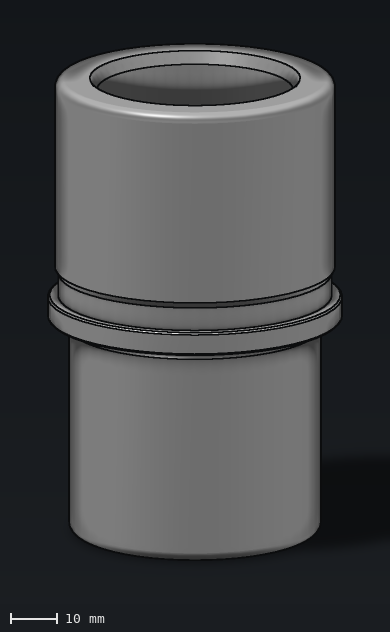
import cadquery as cq

total_height = 100.0
bore_diameter = 42.0
bore_chamfer_width = 1.5
bore_chamfer_height = 2.6

upper_diameter = 60.0
upper_bottom = 57.0
upper_rim_radius = 2.0
upper_chamfer_height = 1.3

neck_diameter = 58.6

collar_diameter = 63.0
collar_bottom = 47.0
collar_height = 5.0
collar_chamfer = 0.4

lower_diameter = 54.0
shoulder_width = 0.8
shoulder_height = 2.0
lower_rim_radius = 2.0


def cylinder(diameter, bottom, top):
    """Solid cylinder on the Z axis between two heights."""
    return cq.Workplane("XY").workplane(offset=bottom).circle(diameter / 2).extrude(top - bottom)


def make_upper_body():
    """Upper body whose lower chamfer runs down to the neck surface."""
    chamfer_width = (upper_diameter - neck_diameter) / 2
    body = cylinder(upper_diameter, upper_bottom, total_height)
    body = body.faces(">Z").edges().fillet(upper_rim_radius)
    return body.faces("<Z").edges().chamfer(upper_chamfer_height, chamfer_width)


def make_collar():
    collar = cylinder(collar_diameter, collar_bottom, collar_bottom + collar_height)
    return collar.edges("%CIRCLE").chamfer(collar_chamfer)


def revolve_profile(profile):
    """Revolve a closed (radius, height) profile around the Z axis."""
    return profile.close().revolve(360, (0, 0, 0), (0, 1, 0))


def make_shoulder_relief():
    """Ring cut whose concave arc flares out from a vertical start below the collar."""
    outer_radius = lower_diameter / 2
    inner_radius = outer_radius - shoulder_width
    shoulder_arc_radius = (shoulder_height**2 + shoulder_width**2) / (2 * shoulder_width)
    profile = (
        cq.Workplane("XZ")
        .moveTo(outer_radius, collar_bottom)
        .lineTo(inner_radius, collar_bottom)
        .radiusArc((outer_radius, collar_bottom - shoulder_height), -shoulder_arc_radius)
    )
    return revolve_profile(profile)


def make_lower_body():
    body = cylinder(lower_diameter, 0, collar_bottom)
    body = body.faces("<Z").edges().fillet(lower_rim_radius)
    return body.cut(make_shoulder_relief())


def make_bore():
    """Through bore widened by a chamfer at both ends."""
    mouth_radius = bore_diameter / 2 + bore_chamfer_width
    profile = [
        (0, 0),
        (mouth_radius, 0),
        (bore_diameter / 2, bore_chamfer_height),
        (bore_diameter / 2, total_height - bore_chamfer_height),
        (mouth_radius, total_height),
        (0, total_height),
    ]
    return revolve_profile(cq.Workplane("XZ").polyline(profile))


neck = cylinder(neck_diameter, collar_bottom + collar_height, upper_bottom)
result = make_lower_body().union(make_collar()).union(neck).union(make_upper_body()).cut(make_bore())